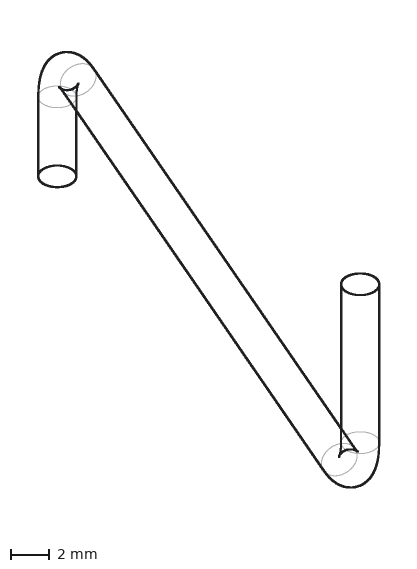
import cadquery as cq

overall_length = 45.25
wire_diameter = 2.0
bend_radius = 3.0
lower_leg_length = 5.02
upper_leg_length = 10.0

leg_spacing = overall_length - wire_diameter
crossbar_height = lower_leg_length + bend_radius
upper_leg_start = crossbar_height + bend_radius
top_height = upper_leg_start + upper_leg_length

centreline = (
    cq.Workplane("XZ")
    .moveTo(0, 0)
    .lineTo(0, lower_leg_length)
    .tangentArcPoint((bend_radius, crossbar_height), relative=False)
    .lineTo(leg_spacing - bend_radius, crossbar_height)
    .tangentArcPoint((leg_spacing, upper_leg_start), relative=False)
    .lineTo(leg_spacing, top_height)
)

result = cq.Workplane("XY").circle(wire_diameter / 2).sweep(centreline)